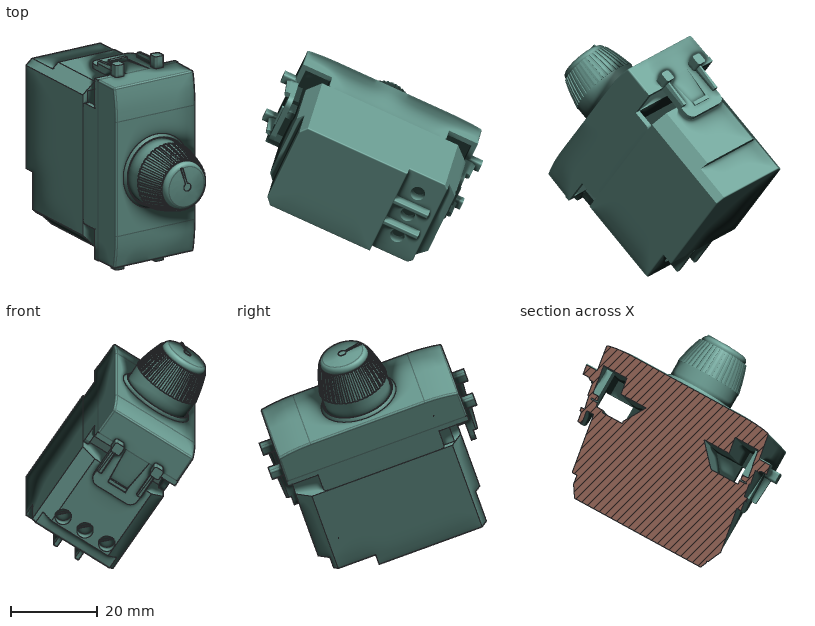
import cadquery as cq
import math

TILT_ABOUT_Y = 33.3
TILT_ABOUT_X = 20.0

cover_half_width = 11.05
cover_half_length = 22.15
cover_bottom = 7.8
cover_draft_line = 9.1
cover_top = 16.65
cover_end_top = 15.75
cover_flat_half = 14.0
cover_draft = 0.75
cover_edge_fillet = 0.4
cover_rim = 1.15
cover_pocket_roof = 11.5

ring_bottom_radius = 9.0
ring_top_radius = 8.4
ring_height = 0.75
ring_bore_radius = 8.2

neck_half_length = 14.8
neck_wall = 1.3
neck_foot_radius = 0.9
neck_ramp_foot = 12.0
neck_ramp_run = 4.0

base_half_width = 11.1
base_front = -21.15
base_back = 19.3
base_front_chamfer = 3.35
base_back_chamfer = 2.7
base_chamfer_width = 3.3
base_top = 2.9
base_bottom = -21.2
base_fillet = 0.3
front_notch_top = -15.25
front_notch_wall = -18.75
back_notch_top = -12.4
back_notch_wall = 18.0
terminal_floor = -18.4
terminal_edge = -8.65
back_recess_depth = 0.5
back_recess_edge = 17.35

terminal_pitch = 6.0
terminal_offset = -0.1
screw_height = -12.95
screw_radius = 1.88
screw_recess = 2.8
screw_length = 3.0
screw_slot_width = 0.5
screw_slot_depth = 0.4
screw_slot_angle = 45
wire_hole_radius = 1.7
wire_hole_place = -13.0
wire_hole_top = screw_height - screw_radius - 0.5
rib_width = 1.0
rib_offset = 2.95
rib_bottom = -21.15
rib_front = -17.25
rib_fillet = 0.25

clip_offset = -0.1
clip_half_width = 6.0
clip_inner = 21.1
clip_outer = 22.3
clip_bottom = -1.95
clip_corner_radius = 2.0
tongue_inner = 19.5
tongue_width = 2.7
tongue_start = -3.4
tongue_bottom = 4.0
tongue_foot_inset = 0.9
tongue_foot_bottom = -0.4
leg_width = 1.2
leg_tip_width = 0.4
leg_shoulder = 22.9
leg_bottom = 1.4
leg_foot_outer = 23.4
leg_top_outer = 23.8
head_width = 2.4
head_outer = 25.05
head_inner = 21.8
head_bottom = 7.7
head_top = 10.2
head_fillet = 0.5
window_top_half = 3.2
window_bottom_half = 2.4
window_bottom = 1.2
window_floor = 21.8
lip_bottom = 0.3
lip_outer = 22.7

knob_base_radius = 7.95
knob_radius = 8.1
knurl_bottom = 21.25
knurl_top = 28.0
knurl_top_radius = 6.25
knurl_bulge = 0.15
knurl_count = 40
groove_width = 0.55
groove_depth = 0.3
groove_clearance = 1.0
cap_radius = 5.8
cap_corner_height = 28.2
cap_corner_radius = 1.0
cap_corner_rise = 0.7
cap_face_radius = 4.85
cap_face_height = 29.5
cap_crown_height = 29.8
pointer_dot_radius = 0.95
pointer_width = 0.5
pointer_length = 5.0
pointer_angle = 17
pointer_height = 29.9


def box(u_range, v_range, w_range):
    """Axis-aligned block given by its limits."""
    size = [high - low for low, high in (u_range, v_range, w_range)]
    corner = (u_range[0], v_range[0], w_range[0])
    return cq.Workplane("XY").box(*size, centered=False).translate(corner)


def side_prism(points, u_range):
    """Prism along U whose outline is given as (v, w) points."""
    length = u_range[1] - u_range[0]
    return cq.Workplane("YZ").polyline(points).close().extrude(length).translate((u_range[0], 0, 0))


def make_cover():
    skirt = box(
        (-cover_half_width, cover_half_width),
        (-cover_half_length, cover_half_length),
        (cover_bottom, cover_draft_line),
    )
    hood = (
        cq.Workplane("XY", origin=(0, 0, cover_draft_line))
        .rect(2 * cover_half_width, 2 * cover_half_length)
        .extrude(cover_top - cover_draft_line, taper=cover_draft)
    )
    drop = cover_top - cover_end_top
    run = cover_half_length - cover_flat_half
    arc_radius = (run**2 + drop**2) / (2 * drop)
    half_angle = math.asin(run / arc_radius) / 2
    middle_v = cover_flat_half + arc_radius * math.sin(half_angle)
    middle_w = cover_top - arc_radius * (1 - math.cos(half_angle))
    crown = (
        cq.Workplane("YZ")
        .moveTo(-cover_half_length, cover_draft_line)
        .lineTo(-cover_half_length, cover_end_top)
        .threePointArc((-middle_v, middle_w), (-cover_flat_half, cover_top))
        .lineTo(cover_flat_half, cover_top)
        .threePointArc((middle_v, middle_w), (cover_half_length, cover_end_top))
        .lineTo(cover_half_length, cover_draft_line)
        .close()
        .extrude(cover_half_width, both=True)
    )
    hood = hood.intersect(crown)
    rounded = hood.edges("not <Z")
    cross_seams = [e for e in rounded.vals() if abs(abs(e.Center().y) - cover_flat_half) < 0.1]
    rim = [e for e in rounded.vals() if e not in cross_seams]
    hood = hood.newObject(rim).fillet(cover_edge_fillet)
    return skirt.union(hood)


def make_ring():
    ring = (
        cq.Workplane("XY", origin=(0, 0, cover_top))
        .circle(ring_bottom_radius)
        .workplane(offset=ring_height)
        .circle(ring_top_radius)
        .loft()
    )
    bore = cq.Workplane("XY", origin=(0, 0, cover_top)).circle(ring_bore_radius).extrude(ring_height)
    return ring.cut(bore)


def make_neck():
    core_top = neck_ramp_foot - neck_ramp_run
    outline = [
        (-neck_ramp_foot, base_top),
        (neck_ramp_foot, base_top),
        (core_top, cover_bottom),
        (-core_top, cover_bottom),
    ]
    neck = side_prism(outline, (-cover_half_width, cover_half_width))
    for side in (-1, 1):
        limits = sorted((side * cover_half_width, side * (cover_half_width - neck_wall)))
        wall = box(limits, (-neck_half_length, neck_half_length), (base_top, cover_bottom))
        neck = neck.union(wall.edges("|X and <Z").fillet(neck_foot_radius))
    return neck


def make_base():
    chamfer_u = base_half_width - base_chamfer_width
    front_v = base_front + base_front_chamfer
    back_v = base_back - base_back_chamfer
    plan = [
        (-base_half_width, front_v),
        (-chamfer_u, base_front),
        (chamfer_u, base_front),
        (base_half_width, front_v),
        (base_half_width, back_v),
        (chamfer_u, base_back),
        (-chamfer_u, base_back),
        (-base_half_width, back_v),
    ]
    block = cq.Workplane("XY").polyline(plan).close().extrude(base_top - base_bottom)
    block = block.translate((0, 0, base_bottom))
    profile = [
        (base_front, base_top),
        (base_front, front_notch_top),
        (front_notch_wall, front_notch_top),
        (front_notch_wall, terminal_floor),
        (terminal_edge, terminal_floor),
        (terminal_edge, base_bottom),
        (back_notch_wall, base_bottom),
        (back_notch_wall, back_notch_top),
        (base_back, back_notch_top),
        (base_back, base_top),
    ]
    block = block.intersect(side_prism(profile, (-base_half_width, base_half_width)))
    lower_edges = cq.selectors.BoxSelector(
        (-base_half_width - 1, 2 * base_front, base_bottom - 1),
        (base_half_width + 1, 2 * base_back, terminal_floor + 0.1),
    )
    outer_edges = [
        edge
        for edge in block.edges(lower_edges).edges("#Z").vals()
        if abs(edge.Center().y - terminal_edge) > 0.1 or edge.Center().z < terminal_floor - 0.1
    ]
    block = block.newObject(outer_edges).fillet(base_fillet)
    recess = box(
        (neck_wall - base_half_width, base_half_width - neck_wall),
        (neck_ramp_foot, back_recess_edge),
        (base_top - back_recess_depth, base_top),
    )
    return block.cut(recess)


def make_terminal_ribs():
    ribs = cq.Workplane("XY")
    for u in (-rib_offset, rib_offset):
        limits = (u - rib_width / 2, u + rib_width / 2)
        rib = box(limits, (rib_front, terminal_edge), (rib_bottom, terminal_floor))
        ribs = ribs.union(rib.faces("<Z").edges("not >Y").fillet(rib_fillet))
    return ribs


def terminal_places():
    return [terminal_offset + step * terminal_pitch for step in (-1, 0, 1)]


def front_cylinder(u, start, length):
    """Terminal cylinder that runs from V = start towards +V."""
    plane = cq.Plane((u, start, screw_height), xDir=(1, 0, 0), normal=(0, 1, 0))
    return cq.Workplane(plane).circle(screw_radius).extrude(length)


def make_screw(u):
    face = base_front + screw_recess
    slot = box(
        (-screw_radius, screw_radius),
        (face, face + screw_slot_depth),
        (-screw_slot_width / 2, screw_slot_width / 2),
    )
    slot = slot.rotate((0, 0, 0), (0, 1, 0), -screw_slot_angle).translate((u, 0, screw_height))
    return front_cylinder(u, face, screw_length).cut(slot)


def make_wire_hole(u):
    depth = wire_hole_top - terminal_floor
    hole = cq.Workplane("XY", origin=(u, wire_hole_place, terminal_floor))
    return hole.circle(wire_hole_radius).extrude(depth)


def make_window():
    """Shallow tapered window in the outer face of the +V clip."""
    taper = [
        (-window_bottom_half, window_bottom),
        (window_bottom_half, window_bottom),
        (window_top_half, cover_draft_line),
        (-window_top_half, cover_draft_line),
    ]
    recess = [
        (cover_half_length, cover_draft_line),
        (clip_outer, cover_draft_line),
        (clip_outer, window_bottom),
        (window_floor, window_bottom),
    ]
    window = cq.Workplane("XZ").polyline(taper).close().extrude(-clip_outer)
    return window.intersect(side_prism(recess, (-window_top_half, window_top_half)))


def make_clip():
    """Clip of the +V end: a plate that hangs from the cover, with a lip and two headed legs."""
    profile = [
        (clip_inner, clip_bottom),
        (clip_outer, clip_bottom),
        (cover_half_length, cover_draft_line),
        (clip_inner, cover_draft_line),
    ]
    clip = side_prism(profile, (-clip_half_width, clip_half_width))
    clip = clip.edges("|Y and <Z").fillet(clip_corner_radius)

    lip = box((-window_bottom_half, window_bottom_half), (clip_inner, lip_outer), (lip_bottom, window_bottom))
    clip = clip.union(lip)

    leg_profile = [
        (clip_inner, leg_bottom),
        (leg_foot_outer, leg_bottom),
        (leg_top_outer, head_bottom),
        (clip_inner, head_bottom),
    ]
    for side in (-1, 1):
        middle = side * (clip_half_width - leg_width / 2)
        leg_section = [
            (middle - leg_width / 2, clip_inner),
            (middle + leg_width / 2, clip_inner),
            (middle + leg_width / 2, leg_shoulder),
            (middle + leg_tip_width / 2, leg_top_outer),
            (middle - leg_tip_width / 2, leg_top_outer),
            (middle - leg_width / 2, leg_shoulder),
        ]
        leg = cq.Workplane("XY", origin=(0, 0, leg_bottom)).polyline(leg_section).close()
        leg = leg.extrude(head_bottom - leg_bottom)
        clip = clip.union(leg.intersect(side_prism(leg_profile, (-clip_half_width, clip_half_width))))
        limits = (middle - head_width / 2, middle + head_width / 2)
        head = box(limits, (head_inner, head_outer), (head_bottom, head_top))
        clip = clip.union(head.edges("|Y").fillet(head_fillet))
    return clip


def make_tongue():
    """Narrow strip of the +V end that reaches behind the clip into the cover."""
    left = tongue_start
    right = left + tongue_width
    strip = box((left, right), (tongue_inner, clip_inner), (tongue_bottom, cover_pocket_roof))
    foot = box((left + tongue_foot_inset, right), (base_back, clip_inner), (tongue_foot_bottom, tongue_bottom))
    return strip.union(foot)


def make_housing():
    housing = make_cover()
    for side in (-1, 1):
        v_limits = sorted((side * neck_half_length, side * (cover_half_length - cover_rim)))
        u_limits = (cover_rim - cover_half_width, cover_half_width - cover_rim)
        housing = housing.cut(box(u_limits, v_limits, (cover_bottom, cover_pocket_roof)))
    for part in (make_ring(), make_neck(), make_base(), make_terminal_ribs()):
        housing = housing.union(part)

    end_fitting = make_clip().union(make_tongue()).translate((clip_offset, 0, 0))
    housing = housing.union(end_fitting).union(end_fitting.mirror("XZ"))

    window = make_window().translate((clip_offset, 0, 0))
    housing = housing.cut(window).cut(window.mirror("XZ"))

    for u in terminal_places():
        bore = front_cylinder(u, base_front, screw_recess + screw_length)
        housing = housing.cut(bore).cut(make_wire_hole(u))
    return housing


def make_knob():
    slope_u = knurl_top_radius - knob_radius
    slope_w = knurl_top - knurl_bottom
    slope = math.hypot(slope_u, slope_w)
    middle_radius = (knob_radius + knurl_top_radius) / 2 + knurl_bulge * slope_w / slope
    middle_height = (knurl_bottom + knurl_top) / 2 - knurl_bulge * slope_u / slope
    corner_inset = cap_corner_radius * (1 - math.cos(math.pi / 4))
    corner_rise = (cap_face_height - cap_corner_height) * cap_corner_rise
    corner_middle = (cap_radius - corner_inset, cap_corner_height + corner_rise)
    crown_middle_height = cap_face_height + (cap_crown_height - cap_face_height) * 0.75
    knob = (
        cq.Workplane("XZ")
        .moveTo(0, cover_top)
        .lineTo(knob_base_radius, cover_top)
        .lineTo(knob_base_radius, knurl_bottom)
        .lineTo(knob_radius, knurl_bottom)
        .threePointArc((middle_radius, middle_height), (knurl_top_radius, knurl_top))
        .lineTo(cap_radius, knurl_top)
        .lineTo(cap_radius, cap_corner_height)
        .threePointArc(corner_middle, (cap_face_radius, cap_face_height))
        .threePointArc((cap_face_radius / 2, crown_middle_height), (0, cap_crown_height))
        .close()
        .revolve(360, (0, 0, 0), (0, 1, 0))
    )
    groove = (
        cq.Workplane("XZ")
        .moveTo(knob_radius - groove_depth, knurl_bottom)
        .threePointArc(
            (middle_radius - groove_depth, middle_height),
            (knurl_top_radius - groove_depth, knurl_top),
        )
        .lineTo(knob_radius + groove_clearance, knurl_top)
        .lineTo(knob_radius + groove_clearance, knurl_bottom)
        .close()
        .extrude(groove_width / 2, both=True)
    )
    step = 360 / knurl_count
    grooves = [groove.rotate((0, 0, 0), (0, 0, 1), i * step).val() for i in range(knurl_count)]
    knob = knob.newObject([knob.val().cut(*grooves)])
    pointer = box(
        (-pointer_width / 2, pointer_width / 2), (0, pointer_length), (cap_corner_height, pointer_height)
    )
    pointer = pointer.rotate((0, 0, 0), (0, 0, 1), pointer_angle)
    dot = (
        cq.Workplane("XY", origin=(0, 0, cap_corner_height))
        .circle(pointer_dot_radius)
        .extrude(pointer_height - cap_corner_height)
    )
    return knob.union(pointer).union(dot)


def tilt(body):
    tilted = body.rotate((0, 0, 0), (0, 1, 0), TILT_ABOUT_Y)
    return tilted.rotate((0, 0, 0), (1, 0, 0), TILT_ABOUT_X)


housing = tilt(make_housing())
knob = tilt(make_knob())
screws = [tilt(make_screw(u)) for u in terminal_places()]

result = cq.Compound.makeCompound([housing.val(), knob.val(), *[screw.val() for screw in screws]])